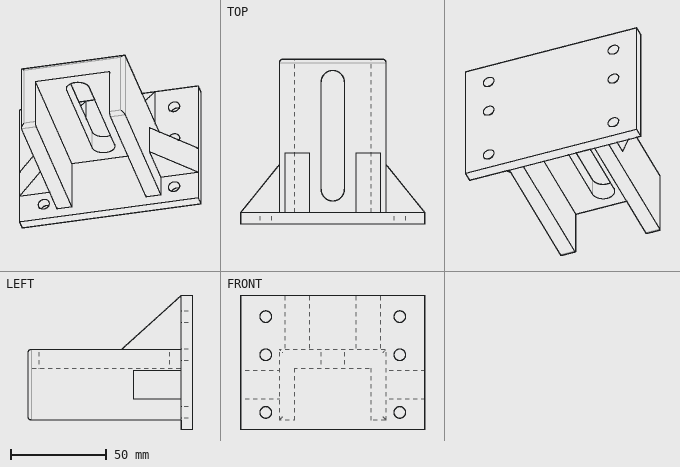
import cadquery as cq

plate_width = 96.0
plate_height = 70.0
plate_thickness = 6.0

overall_depth = 86.0
block_width = 55.8
block_height = 37.0
block_bottom = 5.0
block_top = block_bottom + block_height
end_fillet = 2.0

block_roof = 10.0
block_side_wall = 8.0

slot_width = 12.0
slot_length = 68.0
slot_end_wall = 6.0

top_gusset_width = 12.7
top_gusset_length = 31.0
top_gusset_inset = 3.1
side_gusset_height = 15.0
side_gusset_length = 25.0

hole_diameter = 6.0
hole_spacing = 69.9
hole_heights = (9.0, 39.1, 58.9)


def make_plate():
    return cq.Workplane("XY").box(
        plate_width, plate_thickness, plate_height, centered=(True, False, False)
    )


def make_block():
    block = cq.Workplane("XY").box(
        block_width, overall_depth, block_height, centered=(True, False, False)
    )
    return block.faces(">Y").edges().fillet(end_fillet).translate((0, 0, block_bottom))


def make_channel():
    return cq.Workplane("XY", origin=(0, plate_thickness, 0)).box(
        block_width - 2 * block_side_wall,
        overall_depth - plate_thickness,
        block_top - block_roof,
        centered=(True, False, False),
    )


def make_top_gusset(side):
    """Triangular gusset on top of the block; side is -1 or +1 along X."""
    center_x = side * (block_width / 2 - top_gusset_inset - top_gusset_width / 2)
    return (
        cq.Workplane("YZ", origin=(center_x, 0, 0))
        .moveTo(plate_thickness, block_top)
        .lineTo(plate_thickness + top_gusset_length, block_top)
        .lineTo(plate_thickness, plate_height)
        .close()
        .extrude(top_gusset_width / 2, both=True)
    )


def make_side_gusset(side):
    """Triangular gusset beside the block; side is -1 or +1 along X."""
    return (
        cq.Workplane("XY", origin=(0, 0, block_bottom + block_height / 2))
        .moveTo(side * block_width / 2, plate_thickness)
        .lineTo(side * plate_width / 2, plate_thickness)
        .lineTo(side * block_width / 2, plate_thickness + side_gusset_length)
        .close()
        .extrude(side_gusset_height / 2, both=True)
    )


def make_slot():
    center_y = overall_depth - slot_end_wall - slot_length / 2
    return (
        cq.Workplane("XY")
        .center(0, center_y)
        .slot2D(slot_length, slot_width, 90)
        .extrude(plate_height)
    )


def make_holes():
    centers = [(side * hole_spacing / 2, z) for side in (-1, 1) for z in hole_heights]
    return (
        cq.Workplane("XZ")
        .pushPoints(centers)
        .circle(hole_diameter / 2)
        .extrude(-plate_thickness)
    )


body = make_plate().union(make_block())
for side in (-1, 1):
    body = body.union(make_top_gusset(side)).union(make_side_gusset(side))

result = body.cut(make_channel()).cut(make_slot()).cut(make_holes())